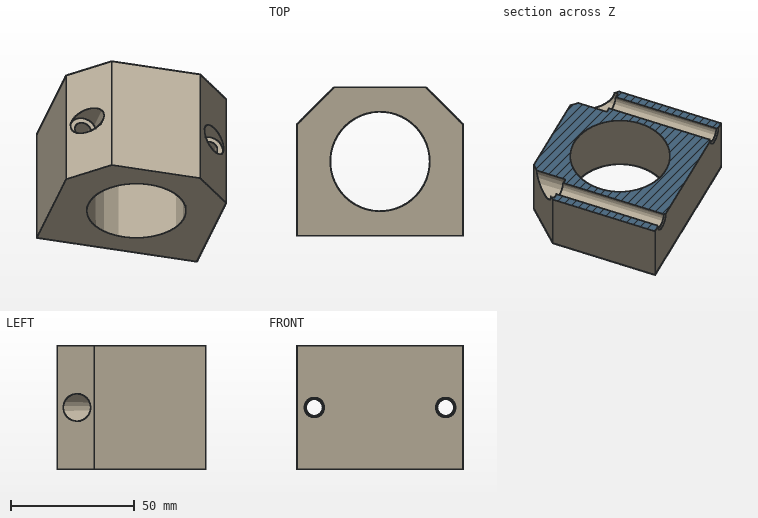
import cadquery as cq

width = 67.0
depth = 60.0
height = 50.0
corner_cut = 15.0

bore_diameter = 40.0

hole_side_offset = 7.0
hole_spacing = width - 2 * hole_side_offset
thread_hole_diameter = 6.647
countersink_diameter = 8.0
countersink_depth = (countersink_diameter - thread_hole_diameter) / 2
counterbore_diameter = 11.0
counterbore_depth = corner_cut

front_y = -depth / 2
rear_y = depth / 2


def make_block():
    """Block with the two rear vertical edges cut at 45 degrees."""
    block = cq.Workplane("XY").box(width, depth, height)
    return block.faces(">Y").edges("|Z").chamfer(corner_cut)


def cylinder_along_y(x, start_y, length, diameter):
    """Cylinder running in +Y from start_y at mid height."""
    start = cq.Vector(x, start_y, 0)
    return cq.Solid.makeCylinder(diameter / 2, length, start, cq.Vector(0, 1, 0))


def make_screw_hole(x):
    """Through hole at thread core size, front countersink and rear counterbore."""
    thread_hole = cylinder_along_y(x, front_y, depth, thread_hole_diameter)
    countersink = cq.Solid.makeCone(
        countersink_diameter / 2,
        thread_hole_diameter / 2,
        countersink_depth,
        cq.Vector(x, front_y, 0),
        cq.Vector(0, 1, 0),
    )
    counterbore = cylinder_along_y(
        x, rear_y - counterbore_depth, counterbore_depth, counterbore_diameter
    )
    return cq.Workplane(thread_hole).union(countersink).union(counterbore)


main_bore = cq.Workplane("XY").circle(bore_diameter / 2).extrude(height / 2, both=True)

result = make_block().cut(main_bore)
for side in (-1, 1):
    result = result.cut(make_screw_hole(side * hole_spacing / 2))